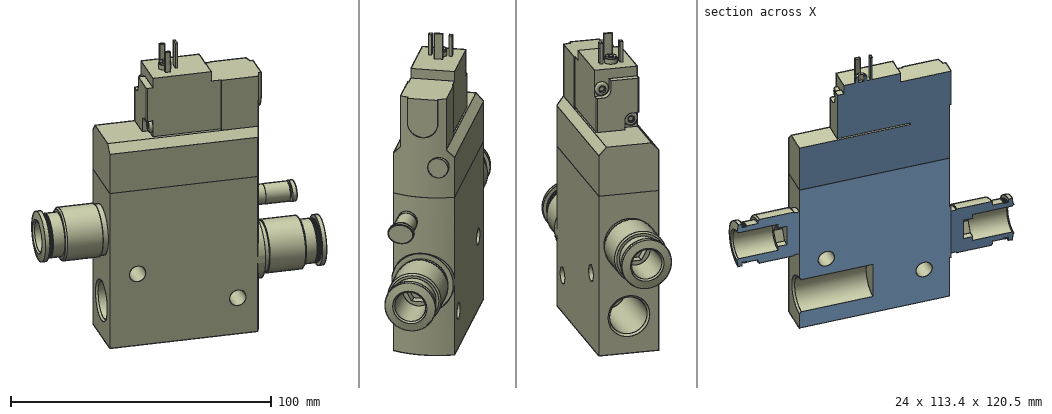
import cadquery as cq
import math


BLOCK_WIDTH = 24.0
REAR_FACE_Y = 61.6
REAR_RADIUS = 29.5
PADS_Y = 62.2
PORT_BLOCK_TOP = 65.3
HEAD_BASE_TOP = 85.1
TOP_CHAMFER_X = 3.0
TOP_CHAMFER_Z = 3.3

OPEN_PORT_Z = 15.2
PORT_SPACING = 15.0
REAR_PORT_Z = OPEN_PORT_Z + PORT_SPACING
FRONT_PORT_Z = REAR_PORT_Z + PORT_SPACING
OPEN_PORT_DIAMETER = 15.0
OPEN_PORT_MOUTH_DIAMETER = 16.6
OPEN_PORT_DEPTH = 30.1
PORT_PAD_DIAMETER = 24.16
MOUNTING_HOLE_DIAMETER = 6.5
MOUNTING_HOLES_YZ = [(51.1, OPEN_PORT_Z), (11.1, REAR_PORT_Z)]

COLLAR_DIAMETER = 20.0
COLLAR_END = 2.0
SLEEVE_DIAMETER = 20.8
SLEEVE_END = 17.0
SLEEVE_INNER_CHAMFER = 0.2
SLEEVE_FACE_DIAMETER = 19.4
SLEEVE_OUTER_CHAMFER = 0.6
NECK_DIAMETER = 17.4
NECK_END = 22.9
NECK_GROOVE_STARTS = [21.6, 22.3]
NECK_GROOVE_WIDTH = 0.4
GROOVE_DIAMETER = 16.6
RIM_DIAMETER = 19.8
RIM_START = 23.4
RIM_END = 25.1
RIM_LIP_DIAMETER = 19.4
BORE_MOUTH_DIAMETER = 13.4
BORE_DIAMETER = 12.0
BORE_CHAMFER = (BORE_MOUTH_DIAMETER - BORE_DIAMETER) / 2
BORE_DEPTH = 16.9
HEXAGON_ACROSS_FLATS = 8.4
HEXAGON_DEPTH = 3.6
OVERALL_LENGTH = 113.4
FITTING_LENGTH = (OVERALL_LENGTH - PADS_Y) / 2

PILOT_PORT_X = 6.0
PILOT_PORT_Z = 55.0
PILOT_SEAT_Y = 58.9
PILOT_BASE_DIAMETER = 7.8
PILOT_BASE_END = 62.9
PILOT_SLEEVE_DIAMETER = 8.0
PILOT_SLEEVE_END = 72.7
PILOT_NECK_DIAMETER = 5.5
PILOT_RIM_START = 73.4
PILOT_RIM_END = 75.2
PILOT_RIM_WIDTH = 10.0
PILOT_RIM_HEIGHT = 8.0
PILOT_RIM_CHAMFER = 0.2

TOWER_WIDTH = BLOCK_WIDTH - 2 * TOP_CHAMFER_X
TOWER_TOP = 106.2
TOWER_FRONT_Y = 45.4
COIL_WIDTH = 17.1
COIL_GAP = 0.5
COIL_BOTTOM = HEAD_BASE_TOP + COIL_GAP
COIL_TOP = 110.1
COIL_STEP_Y = 41.5
COIL_FRONT_Y = 18.2
COVER_FRONT_Y = 15.5
COVER_CHAMFER = 0.5
SCREW_POCKET_RADIUS = 3.0
SCREW_HEAD_DIAMETER = 5.5
SCREW_HEAD_HEIGHT = 1.2
SCREW_HEAD_ROUNDING = 0.8
SCREW_SOCKET_DIAMETER = 2.0
SCREW_SOCKET_CHAMFER = 0.4
SCREW_SOCKET_DEPTH = 1.0
SCREW_X = 5.8
UPPER_SCREW_Z = 102.4
LOWER_SCREW_Z = 89.2
LABEL_PAD_WIDTH = 11.8
LABEL_PAD_ARC_Z = 96.2
BUTTON_DIAMETER = 8.0
BUTTON_X = -6.0
BUTTON_Z = 78.1

CONNECTOR_Y = 25.3
STUD_DIAMETER = 5.0
STUD_HEIGHT = 1.9
STUD_TIP_DIAMETER = 4.1
STUD_TIP_HEIGHT = 0.7
STUD_HOLE_DIAMETER = 2.0
EARTH_BLADE_Y = 29.5
EARTH_BLADE_WIDTH = 3.4
EARTH_BLADE_THICKNESS = 0.8
EARTH_BLADE_TOP = 120.5
SIDE_BLADE_X = 4.0
SIDE_BLADE_WIDTH = 1.9
SIDE_BLADE_THICKNESS = 1.2
SIDE_BLADE_TOP = 118.5


def box_between(x_min, x_max, y_min, y_max, z_min, z_max):
    """Box given by its limits along each axis."""
    size = (x_max - x_min, y_max - y_min, z_max - z_min)
    return cq.Workplane("XY").box(*size, centered=False).translate((x_min, y_min, z_min))


def centred_box(width, y_min, y_max, z_min, z_max):
    """Box that is symmetric about the middle plane X = 0."""
    return box_between(-width / 2, width / 2, y_min, y_max, z_min, z_max)


def cylinder_y(diameter, x, z, y_min, y_max):
    """Cylinder with its axis along Y."""
    disc = cq.Workplane("XZ", origin=(x, y_min, z)).circle(diameter / 2)
    return disc.extrude(y_min - y_max)


def bulged_block(width, z_min, z_max):
    """Block from the front face back to the bulged rear face."""
    half = width / 2
    corner_y = REAR_FACE_Y - REAR_RADIUS + math.sqrt(REAR_RADIUS**2 - half**2)
    return (
        cq.Workplane("XY", origin=(0, 0, z_min))
        .moveTo(-half, 0)
        .lineTo(half, 0)
        .lineTo(half, corner_y)
        .threePointArc((0, REAR_FACE_Y), (-half, corner_y))
        .close()
        .extrude(z_max - z_min)
    )


def open_port():
    """Blind port in the front face with a chamfered mouth."""
    mouth_depth = (OPEN_PORT_MOUTH_DIAMETER - OPEN_PORT_DIAMETER) / 2
    bore = cylinder_y(OPEN_PORT_DIAMETER, 0, OPEN_PORT_Z, 0, OPEN_PORT_DEPTH)
    mouth = (
        cq.Workplane("XZ", origin=(0, 0, OPEN_PORT_Z))
        .circle(OPEN_PORT_MOUTH_DIAMETER / 2)
        .workplane(offset=-mouth_depth)
        .circle(OPEN_PORT_DIAMETER / 2)
        .loft(ruled=True)
    )
    return bore.union(mouth)


def make_port_block(pilot_fitting):
    block = bulged_block(BLOCK_WIDTH, 0, PORT_BLOCK_TOP)
    pad = cylinder_y(PORT_PAD_DIAMETER, 0, REAR_PORT_Z, REAR_FACE_Y / 2, PADS_Y)
    pad = pad.intersect(centred_box(BLOCK_WIDTH, 0, PADS_Y, 0, PORT_BLOCK_TOP))
    block = block.union(pad).cut(open_port())
    mounting_holes = (
        cq.Workplane("YZ", origin=(-BLOCK_WIDTH / 2, 0, 0))
        .pushPoints(MOUNTING_HOLES_YZ)
        .circle(MOUNTING_HOLE_DIAMETER / 2)
        .extrude(BLOCK_WIDTH)
    )
    return block.cut(mounting_holes).cut(pilot_fitting)


def head_base():
    """Lower part of the head, with both long top edges chamfered."""
    half = BLOCK_WIDTH / 2
    shoulder_z = HEAD_BASE_TOP - TOP_CHAMFER_Z
    outline = [
        (-half, PORT_BLOCK_TOP),
        (half, PORT_BLOCK_TOP),
        (half, shoulder_z),
        (TOWER_WIDTH / 2, HEAD_BASE_TOP),
        (-TOWER_WIDTH / 2, HEAD_BASE_TOP),
        (-half, shoulder_z),
    ]
    prism = cq.Workplane("XZ").polyline(outline).close().extrude(-REAR_FACE_Y)
    return prism.intersect(bulged_block(BLOCK_WIDTH, PORT_BLOCK_TOP, HEAD_BASE_TOP))


def tower():
    """Rear part of the head that carries the coil."""
    front_part = centred_box(TOWER_WIDTH, 0, TOWER_FRONT_Y, HEAD_BASE_TOP, TOWER_TOP)
    return bulged_block(TOWER_WIDTH, HEAD_BASE_TOP, TOWER_TOP).cut(front_part)


def label_pad():
    """Flat pad on the rear of the tower with a half-round lower end."""
    half = LABEL_PAD_WIDTH / 2
    return (
        cq.Workplane("XZ", origin=(0, TOWER_FRONT_Y, 0))
        .moveTo(-half, TOWER_TOP)
        .lineTo(half, TOWER_TOP)
        .lineTo(half, LABEL_PAD_ARC_Z)
        .threePointArc((0, LABEL_PAD_ARC_Z - half), (-half, LABEL_PAD_ARC_Z))
        .close()
        .extrude(TOWER_FRONT_Y - PADS_Y)
    )


def screw_pocket(side, z, z_end):
    """Pocket in the cover, open to one side (-1 or 1) and to z_end, rounded around the screw."""
    x = side * SCREW_X
    inner_x = side * (SCREW_X - SCREW_POCKET_RADIUS)
    outer_x = side * COIL_WIDTH
    far_z = z - math.copysign(SCREW_POCKET_RADIUS, z_end - z)
    depth = (COVER_FRONT_Y, COIL_FRONT_Y)
    pocket = cylinder_y(2 * SCREW_POCKET_RADIUS, x, z, *depth)
    for x_ends, z_ends in [((inner_x, outer_x), (z, z_end)), ((x, outer_x), (far_z, z))]:
        pocket = pocket.union(
            box_between(min(x_ends), max(x_ends), *depth, min(z_ends), max(z_ends))
        )
    return pocket


def screw_head(x, z):
    """Rounded screw head with a countersunk round socket."""
    front_y = COIL_FRONT_Y - SCREW_HEAD_HEIGHT
    head = cylinder_y(SCREW_HEAD_DIAMETER, x, z, front_y, COIL_FRONT_Y)
    head = head.faces("<Y").edges().fillet(SCREW_HEAD_ROUNDING)
    head = head.cut(
        cylinder_y(SCREW_SOCKET_DIAMETER, x, z, front_y, front_y + SCREW_SOCKET_DEPTH)
    )
    socket_rim = head.faces("<Y").edges(cq.selectors.RadiusNthSelector(0))
    return socket_rim.chamfer(SCREW_SOCKET_CHAMFER)


def coil():
    """Stepped coil with its front cover and two recessed screws."""
    body = centred_box(COIL_WIDTH, COIL_FRONT_Y, TOWER_FRONT_Y, COIL_BOTTOM, TOWER_TOP)
    raised_top = centred_box(COIL_WIDTH, COIL_FRONT_Y, COIL_STEP_Y, COIL_BOTTOM, COIL_TOP)
    cover = centred_box(COIL_WIDTH, COVER_FRONT_Y, COIL_FRONT_Y, COIL_BOTTOM, TOWER_TOP)
    cover = cover.faces("<Y").edges("|Z").chamfer(COVER_CHAMFER)
    cover = cover.cut(screw_pocket(-1, UPPER_SCREW_Z, COIL_TOP))
    cover = cover.cut(screw_pocket(1, LOWER_SCREW_Z, HEAD_BASE_TOP))
    assembled = body.union(raised_top).union(cover)
    for x, z in [(-SCREW_X, UPPER_SCREW_Z), (SCREW_X, LOWER_SCREW_Z)]:
        assembled = assembled.union(screw_head(x, z))
    return assembled


def blade(x, y, width_x, width_y, top_z):
    """Flat upright contact blade on the coil top."""
    return box_between(
        x - width_x / 2, x + width_x / 2, y - width_y / 2, y + width_y / 2, COIL_TOP, top_z
    )


def connector():
    """Stepped stud with a screw hole, one earth blade and two side blades."""
    stud_height = STUD_HEIGHT + STUD_TIP_HEIGHT
    base = cq.Workplane("XY", origin=(0, CONNECTOR_Y, COIL_TOP))
    stud = base.circle(STUD_DIAMETER / 2).extrude(STUD_HEIGHT)
    stud = stud.union(base.circle(STUD_TIP_DIAMETER / 2).extrude(stud_height))
    stud = stud.cut(base.circle(STUD_HOLE_DIAMETER / 2).extrude(stud_height))
    contacts = stud.union(
        blade(0, EARTH_BLADE_Y, EARTH_BLADE_WIDTH, EARTH_BLADE_THICKNESS, EARTH_BLADE_TOP)
    )
    for x in (-SIDE_BLADE_X, SIDE_BLADE_X):
        contacts = contacts.union(
            blade(x, CONNECTOR_Y, SIDE_BLADE_THICKNESS, SIDE_BLADE_WIDTH, SIDE_BLADE_TOP)
        )
    return contacts


def make_pilot_head():
    button = cylinder_y(BUTTON_DIAMETER, BUTTON_X, BUTTON_Z, TOWER_FRONT_Y, PADS_Y)
    head = head_base().union(tower()).union(label_pad()).union(button)
    return head.union(coil()).union(connector())


def make_push_in_fitting():
    """Fitting turned around the Y axis, seated at Y = 0 and pointing along +Y."""
    profile = [
        (0, 0),
        (COLLAR_DIAMETER / 2, 0),
        (COLLAR_DIAMETER / 2, COLLAR_END),
        (SLEEVE_DIAMETER / 2, COLLAR_END + SLEEVE_INNER_CHAMFER),
        (SLEEVE_DIAMETER / 2, SLEEVE_END - SLEEVE_OUTER_CHAMFER),
        (SLEEVE_FACE_DIAMETER / 2, SLEEVE_END),
        (NECK_DIAMETER / 2, SLEEVE_END),
        (NECK_DIAMETER / 2, NECK_END),
        (GROOVE_DIAMETER / 2, NECK_END),
        (GROOVE_DIAMETER / 2, RIM_START),
        (RIM_DIAMETER / 2, RIM_START),
        (RIM_DIAMETER / 2, RIM_END),
        (RIM_LIP_DIAMETER / 2, RIM_END),
        (BORE_MOUTH_DIAMETER / 2, FITTING_LENGTH),
        (BORE_DIAMETER / 2, FITTING_LENGTH - BORE_CHAMFER),
        (BORE_DIAMETER / 2, FITTING_LENGTH - BORE_DEPTH),
        (0, FITTING_LENGTH - BORE_DEPTH),
    ]
    fitting = cq.Workplane("XY").polyline(profile).close().revolve(360, (0, 0, 0), (0, 1, 0))
    for groove_start in NECK_GROOVE_STARTS:
        groove = (
            cq.Workplane("XZ", origin=(0, groove_start, 0))
            .circle(NECK_DIAMETER / 2)
            .circle(GROOVE_DIAMETER / 2)
            .extrude(-NECK_GROOVE_WIDTH)
        )
        fitting = fitting.cut(groove)
    hexagon_corners = HEXAGON_ACROSS_FLATS / math.cos(math.pi / 6)
    hexagon = (
        cq.Workplane("XZ", origin=(0, FITTING_LENGTH - BORE_DEPTH, 0))
        .polygon(6, hexagon_corners)
        .extrude(HEXAGON_DEPTH)
    )
    return fitting.cut(hexagon)


def make_pilot_fitting():
    """Small fitting with an oval rim, seated in a recess of the port block."""
    base = cylinder_y(
        PILOT_BASE_DIAMETER, PILOT_PORT_X, PILOT_PORT_Z, PILOT_SEAT_Y, PILOT_BASE_END
    )
    sleeve = cylinder_y(
        PILOT_SLEEVE_DIAMETER, PILOT_PORT_X, PILOT_PORT_Z, PILOT_BASE_END, PILOT_SLEEVE_END
    )
    neck = cylinder_y(
        PILOT_NECK_DIAMETER, PILOT_PORT_X, PILOT_PORT_Z, PILOT_SLEEVE_END, PILOT_RIM_START
    )
    rim = (
        cq.Workplane("XZ", origin=(PILOT_PORT_X, PILOT_RIM_START, PILOT_PORT_Z))
        .ellipse(PILOT_RIM_WIDTH / 2, PILOT_RIM_HEIGHT / 2)
        .extrude(PILOT_RIM_START - PILOT_RIM_END)
        .faces(">Y")
        .chamfer(PILOT_RIM_CHAMFER)
    )
    return base.union(sleeve).union(neck).union(rim)


pilot_fitting = make_pilot_fitting()
port_block = make_port_block(pilot_fitting)
pilot_head = make_pilot_head()

push_in_fittings = []
for turn, seat_y, seat_z in [(180, 0, FRONT_PORT_Z), (0, PADS_Y, REAR_PORT_Z)]:
    fitting = make_push_in_fitting().rotate((0, 0, 0), (0, 0, 1), turn)
    push_in_fittings.append(fitting.translate((0, seat_y, seat_z)).val())

result = cq.Compound.makeCompound(
    [port_block.val(), pilot_head.val(), pilot_fitting.val(), *push_in_fittings]
)